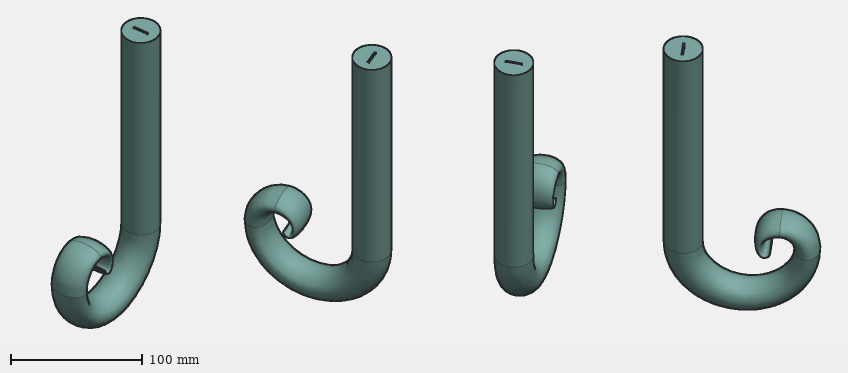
import cadquery as cq
import math

shaft_diameter = 30
overall_height = 250
hook_reach = 120

hook_depth = hook_reach / 2
shaft_length = overall_height - hook_depth
half_width = shaft_diameter / 2

slot_length = 13.0
slot_thickness = 1.5
slot_depth = 12.5

bend_inner_radius = 35
bend_end_thickness = 20
curl_radius = 30
inner_front = hook_reach - bend_end_thickness
curl_top = hook_reach - curl_radius

outer_turns = [
    (0, 0),
    (hook_depth, -hook_depth),
    (hook_reach, 0),
    (curl_top, curl_radius),
    (70, 10),
    (77.5, -2.5),
    (83.0, 3.2),
]
inner_turns = [
    (shaft_diameter, 0),
    (inner_front - bend_inner_radius, -bend_inner_radius),
    (inner_front, 0),
    (curl_top, 16.0),
    (77.5, 8.0),
    (79.0, 2.7),
    (82.5, 5.5),
]

bend = (0, 2)
curl = (2, 3)
tip = (3, 6)
sections_per_quarter = 6


def quarter_point(turns, quarter, angle):
    """Point on the quarter ellipse that joins two successive extreme points."""
    (start_forward, start_height), (end_forward, end_height) = turns[quarter], turns[quarter + 1]
    rise = math.sin(angle)
    run = 1 - math.cos(angle)
    if quarter % 2:
        rise, run = run, rise
    forward = start_forward + (end_forward - start_forward) * run
    height = start_height + (end_height - start_height) * rise
    return cq.Vector(0, half_width - forward, height)


def cross_section(quarter, angle):
    """Elliptical section of full shaft width, spanning inner to outer edge."""
    outer = quarter_point(outer_turns, quarter, angle)
    inner = quarter_point(inner_turns, quarter, angle)
    across = outer - inner
    sideways = cq.Vector(1, 0, 0)
    plane = cq.Plane(origin=(outer + inner) / 2, xDir=sideways, normal=sideways.cross(across))
    return cq.Workplane(plane).ellipse(half_width, across.Length / 2).wires().val()


def crook_stretch(first_turn, last_turn):
    """Smooth solid through the sections from one turn to another."""
    step = math.pi / 2 / sections_per_quarter
    sections = [cross_section(first_turn, 0)]
    for quarter in range(first_turn, last_turn):
        for index in range(1, sections_per_quarter + 1):
            sections.append(cross_section(quarter, index * step))
    return cq.Workplane(cq.Solid.makeLoft(sections))


shaft = cq.Workplane("XY").circle(half_width).extrude(shaft_length)
slot = (
    cq.Workplane("XY", origin=(0, 0, shaft_length))
    .rect(slot_length, slot_thickness)
    .extrude(-slot_depth)
)

result = shaft.cut(slot)
for stretch in (bend, curl, tip):
    result = result.union(crook_stretch(*stretch))